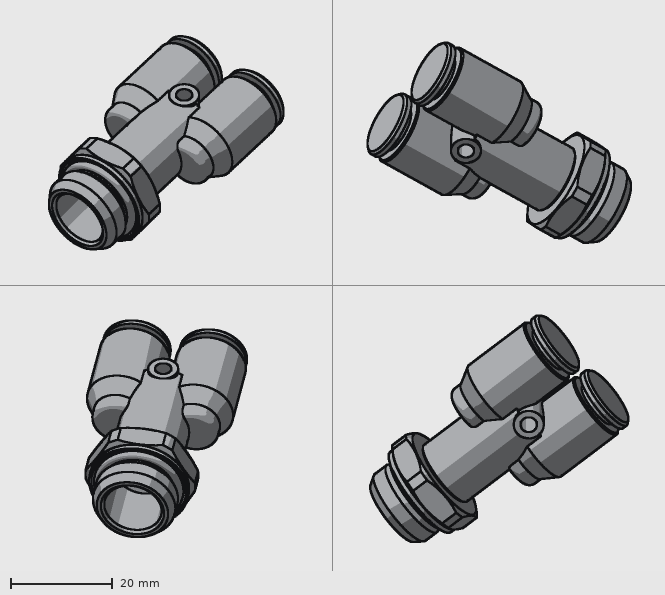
import cadquery as cq


thread_radius = 8.25
thread_end_radius = 7.15
thread_lead_length = 1.8
thread_relief_start = 4.8
thread_relief_end = 5.9
neck_radius = 7.2

seal_section_radius = 0.85
seal_centre_radius = neck_radius + seal_section_radius

flange_front = 7.0
flange_radius = 9.9
seat_mouth_radius = 9.45
seat_floor_radius = seal_centre_radius + seal_section_radius
seat_floor = flange_front + seal_section_radius

hex_front = 8.1
hex_back = 13.05
hex_across_flats = 20.0
hex_corner_radius = 10.95
hex_turn = 30.0
hex_face_radius = 9.85
hex_chamfer_length = 0.7

bore_mouth_radius = 6.3
bore_radius = 5.7
bore_chamfer_length = bore_mouth_radius - bore_radius
bore_cone_length = 1.55
bore_floor_radius = 3.0
bore_floor = hex_back
bore_cone_start = bore_floor - bore_cone_length

barrel_radius = 7.0
barrel_chamfer = 0.3
stem_end = 34.55
socket_offset = 7.6
socket_end = 45.55
socket_cone_start = 31.0
socket_nose_start = 27.5
socket_nose_end = 24.5
socket_nose_radius = 5.0
socket_nose_fillet = 1.45

collar_neck_radius = 4.65
collar_neck_flare = 0.3
collar_radius = 6.75
collar_front = 46.95
collar_end = 48.5
collar_chamfer_length = 0.55
collar_chamfer_depth = 0.5

boss_radius = 2.95
boss_hole_radius = 1.6


def turned(profile, axis_x=0.0):
    """Revolve (radius, y) points about the line parallel to Y at X = axis_x."""
    points = [(axis_x + radius, y) for radius, y in profile]
    return cq.Workplane("XY").polyline(points).close().revolve(360, (axis_x, 0), (axis_x, 1))


def make_thread_and_flange():
    return turned([
        (0, 0),
        (thread_end_radius, 0),
        (thread_radius, thread_lead_length),
        (thread_radius, thread_relief_start),
        (neck_radius, thread_relief_end),
        (neck_radius, seat_floor),
        (seat_floor_radius, seat_floor),
        (seat_mouth_radius, flange_front),
        (flange_radius, flange_front),
        (flange_radius, hex_front),
        (0, hex_front),
    ])


def make_hexagon():
    prism = (
        cq.Workplane("XZ", origin=(0, hex_front, 0))
        .polygon(6, hex_across_flats, circumscribed=True)
        .extrude(hex_front - hex_back)
        .rotate((0, 0, 0), (0, 1, 0), hex_turn)
    )
    corner_envelope = turned([
        (0, hex_front),
        (hex_face_radius, hex_front),
        (hex_corner_radius, hex_front + hex_chamfer_length),
        (hex_corner_radius, hex_back - hex_chamfer_length),
        (hex_face_radius, hex_back),
        (0, hex_back),
    ])
    return prism.intersect(corner_envelope)


def make_bore():
    return turned([
        (0, 0),
        (bore_mouth_radius, 0),
        (bore_radius, bore_chamfer_length),
        (bore_radius, bore_cone_start),
        (bore_floor_radius, bore_floor),
        (0, bore_floor),
    ])


def make_stem():
    return turned([
        (0, hex_back),
        (barrel_radius - barrel_chamfer, hex_back),
        (barrel_radius, hex_back + barrel_chamfer),
        (barrel_radius, stem_end),
        (0, stem_end),
    ])


def make_socket(axis_x):
    barrel = turned([
        (0, socket_nose_end),
        (socket_nose_radius, socket_nose_end),
        (socket_nose_radius, socket_nose_start),
        (barrel_radius, socket_cone_start),
        (barrel_radius, socket_end - barrel_chamfer),
        (barrel_radius - barrel_chamfer, socket_end),
        (0, socket_end),
    ], axis_x)
    return barrel.faces("<Y").edges().fillet(socket_nose_fillet)


def make_collar(axis_x):
    return turned([
        (0, socket_end),
        (collar_neck_radius, socket_end),
        (collar_neck_radius, collar_front - collar_neck_flare),
        (collar_neck_radius + collar_neck_flare, collar_front),
        (collar_radius, collar_front),
        (collar_radius, collar_end - collar_chamfer_length),
        (collar_radius - collar_chamfer_depth, collar_end),
        (0, collar_end),
    ], axis_x)


def boss_cylinder(radius):
    return (
        cq.Workplane("XY", origin=(0, stem_end, 0))
        .circle(radius)
        .extrude(barrel_radius, both=True)
    )


def make_fitting():
    fitting = make_thread_and_flange().union(make_hexagon()).union(make_stem())
    for axis_x in (-socket_offset, socket_offset):
        fitting = fitting.union(make_socket(axis_x)).union(make_collar(axis_x))
    fitting = fitting.union(boss_cylinder(boss_radius))
    return fitting.cut(make_bore()).cut(boss_cylinder(boss_hole_radius))


def make_seal_ring():
    return (
        cq.Workplane("XY")
        .center(seal_centre_radius, flange_front)
        .circle(seal_section_radius)
        .revolve(360, (-seal_centre_radius, 0), (-seal_centre_radius, 1))
    )


fitting = make_fitting()
seal_ring = make_seal_ring()

result = cq.Compound.makeCompound([fitting.val(), seal_ring.val()])